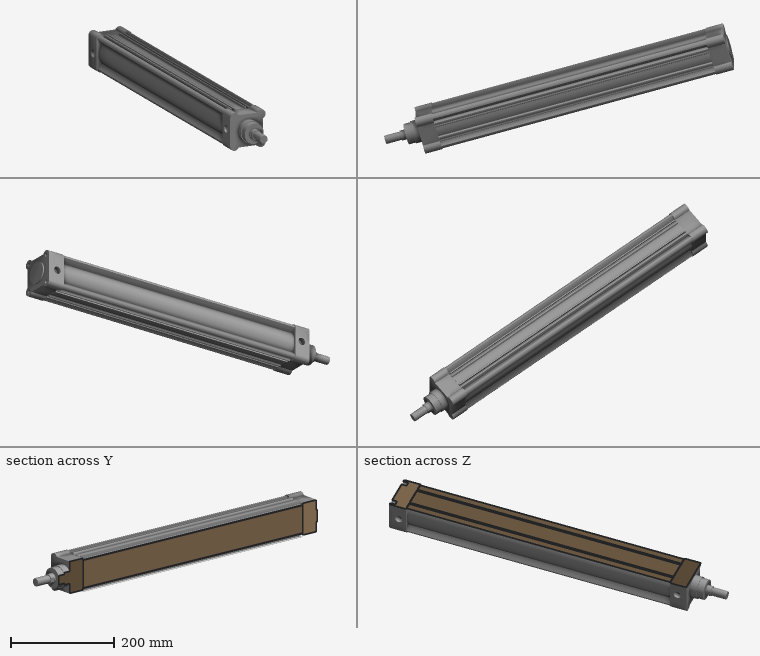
import cadquery as cq
import math

REAR_CAP_START = 3.0
REAR_CAP_END = 38.0
FRONT_CAP_START = 590.0
FRONT_CAP_END = 624.0
BOSS_END = 638.0
COLLAR_END = 652.0
NECK_END = 653.0
FLATS_START = 655.0
SHOULDER_END = 663.0
RELIEF_END = 665.0
THREAD_START = 667.0
ROD_END = 694.0

CAP_HALF = 38.0
EAR_RADIUS = 10.0
EAR_CENTER = CAP_HALF - EAR_RADIUS
CAP_RECESS = 32.5
BOSS_DIAMETER = 44.5
COLLAR_DIAMETER = 41.0
SCREW_HOLE_DIAMETER = 7.5
SCREW_HOLE_DEPTH = 10.5
PORT_DIAMETER = 15.0
PORT_DEPTH = 10.5
PORT_OFFSET = 3.0
REAR_PORT_X = 23.0
FRONT_PORT_X = 605.0

BARREL_RADIUS = 34.0
CORNER_RADIUS = 8.0
ARM_HALF_WIDTH = 5.2
CHANNEL_TOP = 36.0
CHANNEL_TOP_INNER = 11.0
CHANNEL_TOP_OUTER = 19.5
CHANNEL_BASE = 29.0
CHANNEL_BASE_INNER = 7.5
CHANNEL_BASE_OUTER = 22.0
CHANNEL_LIP = 1.0
SLOT_FLOOR = 30.0
CAVITY_INNER = 12.5
CAVITY_OUTER = 19.0
SLOT_OPENING_INNER = 13.0
SLOT_OPENING_OUTER = 17.5

NECK_DIAMETER = 21.0
ROD_DIAMETER = 20.0
THREAD_DIAMETER = 17.0
RELIEF_DIAMETER = 16.0
FLAT_SPACING = 18.0
TIP_DIAMETER = 16.0
TIP_LENGTH = 2.0


def axial(x):
    """Workplane across the axis at station x, with Y and Z as its local axes."""
    return cq.Workplane("YZ", origin=(x, 0, 0))


def box_between(x, y, z):
    """Box spanning the (low, high) pairs x, y and z."""
    size = [high - low for low, high in (x, y, z)]
    return cq.Workplane("XY").box(*size, centered=False).translate((x[0], y[0], z[0]))


def cap_block(start, end):
    """Cap with a flat -Y face and round ears beside the other three, set-back faces."""
    ear_rise = CAP_RECESS - EAR_CENTER
    ear_inner = EAR_CENTER - math.sqrt(EAR_RADIUS**2 - ear_rise**2)
    diagonal = EAR_CENTER + EAR_RADIUS * math.sqrt(0.5)
    return (
        axial(start)
        .moveTo(-CAP_HALF, -EAR_CENTER)
        .lineTo(-CAP_HALF, EAR_CENTER)
        .threePointArc((-diagonal, diagonal), (-ear_inner, CAP_RECESS))
        .lineTo(ear_inner, CAP_RECESS)
        .threePointArc((diagonal, diagonal), (CAP_RECESS, ear_inner))
        .lineTo(CAP_RECESS, -ear_inner)
        .threePointArc((diagonal, -diagonal), (ear_inner, -CAP_RECESS))
        .lineTo(-ear_inner, -CAP_RECESS)
        .threePointArc((-diagonal, -diagonal), (-CAP_HALF, -EAR_CENTER))
        .close()
        .extrude(end - start)
    )


def port(x, z):
    """Blind air port entering the -Y face."""
    return (
        cq.Workplane("XZ", origin=(x, -CAP_HALF, z))
        .circle(PORT_DIAMETER / 2)
        .extrude(-PORT_DEPTH)
    )


def make_rear_cap():
    boss = axial(0).circle(BOSS_DIAMETER / 2).extrude(REAR_CAP_START)
    screw_holes = (
        axial(REAR_CAP_START)
        .rect(2 * EAR_CENTER, 2 * EAR_CENTER, forConstruction=True)
        .vertices()
        .circle(SCREW_HOLE_DIAMETER / 2)
        .extrude(SCREW_HOLE_DEPTH)
    )
    cap = cap_block(REAR_CAP_START, REAR_CAP_END).union(boss)
    return cap.cut(screw_holes).cut(port(REAR_PORT_X, -PORT_OFFSET))


def make_front_cap():
    boss = axial(FRONT_CAP_END).circle(BOSS_DIAMETER / 2).extrude(BOSS_END - FRONT_CAP_END)
    collar = axial(BOSS_END).circle(COLLAR_DIAMETER / 2).extrude(COLLAR_END - BOSS_END)
    cap = cap_block(FRONT_CAP_START, FRONT_CAP_END).union(boss).union(collar)
    return cap.cut(port(FRONT_PORT_X, PORT_OFFSET))


def tube_arm(angle):
    """Straight-sided arm with a round end, turned about the axis by angle degrees."""
    corner_distance = EAR_CENTER * math.sqrt(2)
    side_end = corner_distance + math.sqrt(CORNER_RADIUS**2 - ARM_HALF_WIDTH**2)
    return (
        axial(REAR_CAP_END)
        .moveTo(0, -ARM_HALF_WIDTH)
        .lineTo(side_end, -ARM_HALF_WIDTH)
        .threePointArc((corner_distance + CORNER_RADIUS, 0), (side_end, ARM_HALF_WIDTH))
        .lineTo(0, ARM_HALF_WIDTH)
        .close()
        .extrude(FRONT_CAP_START - REAR_CAP_END)
        .rotate((0, 0, 0), (1, 0, 0), angle)
    )


def sensor_channel():
    """Tapered rail beside the +Y +Z arm that carries a sensor slot."""
    return (
        axial(REAR_CAP_END)
        .moveTo(CHANNEL_BASE_INNER, CHANNEL_BASE)
        .lineTo(CHANNEL_BASE_OUTER, CHANNEL_BASE)
        .lineTo(CHANNEL_TOP_OUTER, CHANNEL_TOP)
        .lineTo(CHANNEL_TOP_INNER, CHANNEL_TOP)
        .close()
        .extrude(FRONT_CAP_START - REAR_CAP_END)
    )


def four_copies(shape):
    """The shape at +Y +Z with its mirror images across the XZ and XY planes."""
    pair = [shape, shape.mirror("XZ")]
    return pair + [copy.mirror("XY") for copy in pair]


def make_tube():
    length = (REAR_CAP_END, FRONT_CAP_START)
    tube = axial(REAR_CAP_END).circle(BARREL_RADIUS).extrude(FRONT_CAP_START - REAR_CAP_END)
    for angle in (45, 135, 225, 315):
        tube = tube.union(tube_arm(angle))

    for copy in four_copies(sensor_channel()):
        tube = tube.union(copy)

    cavity = box_between(length, (CAVITY_INNER, CAVITY_OUTER), (SLOT_FLOOR, CHANNEL_TOP - CHANNEL_LIP))
    opening = box_between(length, (SLOT_OPENING_INNER, SLOT_OPENING_OUTER), (SLOT_FLOOR, CHANNEL_TOP))
    for copy in four_copies(cavity.union(opening)):
        tube = tube.cut(copy)
    return tube


def make_rod():
    rod = (
        cq.Workplane("XZ")
        .moveTo(COLLAR_END, 0)
        .lineTo(COLLAR_END, NECK_DIAMETER / 2)
        .lineTo(NECK_END, NECK_DIAMETER / 2)
        .lineTo(FLATS_START, ROD_DIAMETER / 2)
        .lineTo(SHOULDER_END, ROD_DIAMETER / 2)
        .lineTo(SHOULDER_END, RELIEF_DIAMETER / 2)
        .lineTo(RELIEF_END, RELIEF_DIAMETER / 2)
        .lineTo(THREAD_START, THREAD_DIAMETER / 2)
        .lineTo(ROD_END - TIP_LENGTH, THREAD_DIAMETER / 2)
        .lineTo(ROD_END, TIP_DIAMETER / 2)
        .lineTo(ROD_END, 0)
        .close()
        .revolve(360, (0, 0, 0), (1, 0, 0))
    )
    flat_cut = box_between(
        (FLATS_START, SHOULDER_END),
        (FLAT_SPACING / 2, ROD_DIAMETER),
        (-ROD_DIAMETER, ROD_DIAMETER),
    )
    return rod.cut(flat_cut).cut(flat_cut.mirror("XZ"))


rear_cap = make_rear_cap()
tube = make_tube()
front_cap = make_front_cap()
rod = make_rod()

result = cq.Compound.makeCompound([rear_cap.val(), tube.val(), front_cap.val(), rod.val()])